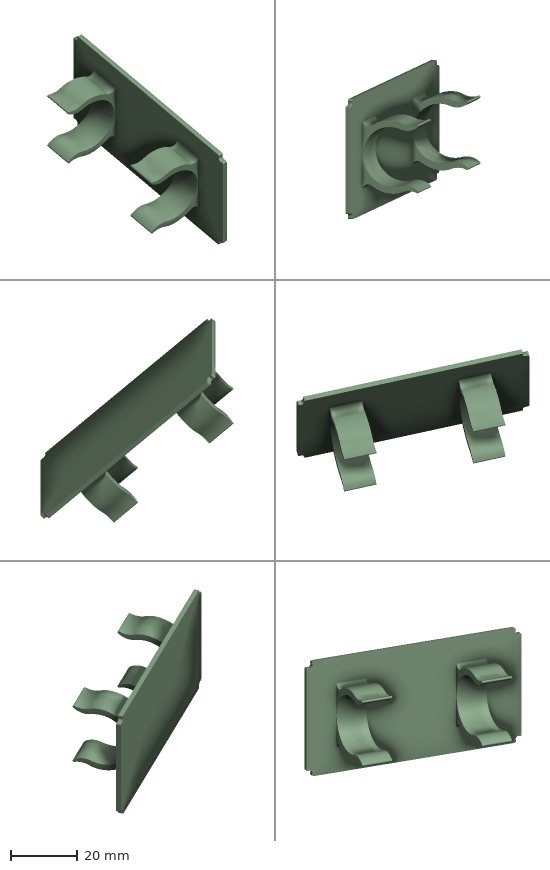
import cadquery as cq
import math

plate_length = 71.8
plate_height = 36.8
plate_thickness = 1.5

notch_inset = 1.1
notch_radius = 0.9
notch_rounding = 0.5

clip_width = 10.0
clip_edge_gap = 10.0
clip_pitch = 40.0
clip_count = 2
bore_radius = 9.2
wall_thickness = 2.1
front_radius = 8.6
bore_offset = 9.4
root_radius = 2.0
root_tangent_depth = 3.0

outer_flare_angle = math.radians(23.5)
bore_flare_angle = math.radians(18.8)

tip_reach = 8.75
tip_half_height = 10.2
tip_outer = (8.05, 10.4)
tip_inner = (8.55, 9.8)

outer_radius = bore_radius + wall_thickness
front_center_height = outer_radius - front_radius


def on_circle(radius, angle, center_height=0.0):
    """Point at an angle from the +Z direction, as (distance outwards, Z)."""
    return radius * math.sin(angle), center_height + radius * math.cos(angle)


def make_corner_cutter(side_x, side_z):
    """Notch cutter for one plate corner; the signs choose the corner."""

    def from_corner(inset_x, inset_z):
        return side_x * (plate_length / 2 - inset_x), side_z * (plate_height / 2 - inset_z)

    reach = notch_radius + notch_rounding
    center_drop = notch_inset - notch_rounding
    center_run = math.sqrt(reach**2 - center_drop**2)
    edge_inset = notch_inset + center_run
    join_far = notch_inset + center_run * notch_radius / reach
    join_near = notch_inset - center_drop * notch_radius / reach
    sweep = math.pi / 2 + math.asin(center_drop / reach)
    mid_far = edge_inset - notch_rounding * math.sin(sweep / 2)
    mid_near = notch_rounding - notch_rounding * math.cos(sweep / 2)
    notch_middle = notch_inset + notch_radius * math.sqrt(0.5)
    return (
        cq.Workplane("XZ")
        .moveTo(*from_corner(0, 0))
        .lineTo(*from_corner(edge_inset, 0))
        .threePointArc(from_corner(mid_far, mid_near), from_corner(join_far, join_near))
        .threePointArc(from_corner(notch_middle, notch_middle), from_corner(join_near, join_far))
        .threePointArc(from_corner(mid_near, mid_far), from_corner(0, edge_inset))
        .close()
        .extrude(-plate_thickness)
    )


def make_plate():
    plate = cq.Workplane("XY").box(plate_length, plate_thickness, plate_height)
    plate = plate.translate((0, plate_thickness / 2, 0))
    for side_x in (-1, 1):
        for side_z in (-1, 1):
            plate = plate.cut(make_corner_cutter(side_x, side_z))
    return plate


def lip_middle(wall_radius, flare_angle, tip, center_height=0.0):
    """Lowest point of the lip arc that continues a wall arc smoothly and ends at the tip."""
    start = on_circle(wall_radius, flare_angle, center_height)
    run = tip[0] - start[0]
    rise = tip[1] - start[1]
    lip_radius = (run**2 + rise**2) / (2 * (run * math.sin(flare_angle) + rise * math.cos(flare_angle)))
    center = on_circle(wall_radius + lip_radius, flare_angle, center_height)
    return center[0], center[1] - lip_radius


def upper_arm_points():
    """Arc end points and middles in turn, from the plate round the tip to the bore."""
    plate_face = -bore_offset
    root_angle = math.asin((root_tangent_depth - bore_offset) / outer_radius)
    root_center = on_circle(outer_radius + root_radius, root_angle)
    root_drop = math.sqrt(root_radius**2 - (root_center[0] - plate_face) ** 2)
    return [
        (plate_face, root_center[1] - root_drop),
        (root_center[0], root_center[1] - root_radius),
        on_circle(outer_radius, root_angle),
        on_circle(outer_radius, root_angle / 2),
        (0, outer_radius),
        on_circle(front_radius, outer_flare_angle / 2, front_center_height),
        on_circle(front_radius, outer_flare_angle, front_center_height),
        lip_middle(front_radius, outer_flare_angle, tip_outer, front_center_height),
        tip_outer,
        (tip_reach, tip_half_height),
        tip_inner,
        lip_middle(bore_radius, bore_flare_angle, tip_inner),
        on_circle(bore_radius, bore_flare_angle),
    ]


def make_clip():
    """Clip starting at X = 0, symmetric about the XY plane."""
    upper_arm = upper_arm_points()
    lower_arm = [(outwards, -z) for outwards, z in reversed(upper_arm)]
    bore_bottom = (-bore_radius, 0)
    outline = upper_arm + [bore_bottom] + lower_arm

    bore_plane = cq.Plane((0, -bore_offset, 0), xDir=(0, -1, 0), normal=(-1, 0, 0))
    profile = cq.Workplane(bore_plane).moveTo(*outline[0])
    for middle, end in zip(outline[1::2], outline[2::2]):
        profile = profile.threePointArc(middle, end)
    return profile.close().extrude(-clip_width)


result = make_plate()
clip = make_clip()
for index in range(clip_count):
    clip_start = -plate_length / 2 + clip_edge_gap + index * clip_pitch
    result = result.union(clip.translate((clip_start, 0, 0)))